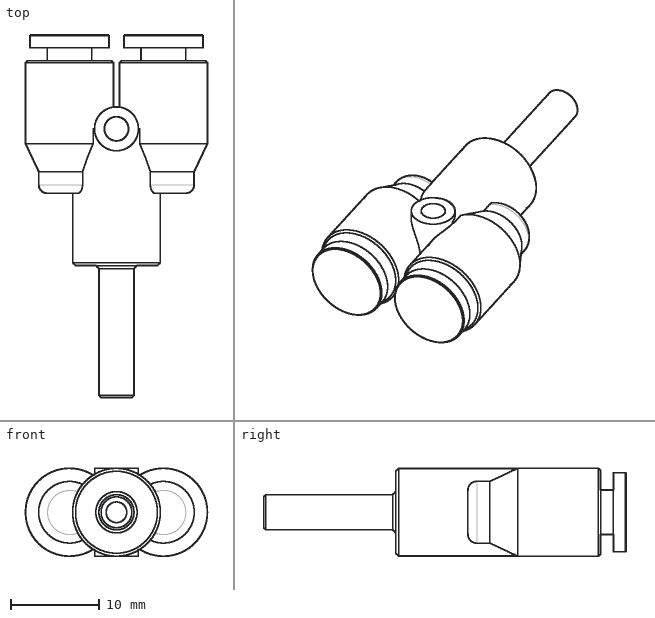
import cadquery as cq

total_length = 41.2
cap_back_y = 39.7
branch_top_y = 38.27
boss_y = 30.53
cone_start_y = 28.85
cone_end_y = 25.65
tail_end_y = 23.2
trunk_end_y = 15.0

body_diameter = 10.0
trunk_diameter = 9.95
cap_diameter = 9.02
neck_diameter = 5.1
tail_diameter = 7.0
stem_diameter = 4.0
stem_root_diameter = 4.7
bore_diameter = 2.35
boss_diameter = 5.0
cross_hole_diameter = 2.7

cap_chamfer = 0.12
branch_chamfer = 0.25
trunk_chamfer = 0.35
stem_chamfer = 0.25
tail_fillet = 1.0

boss_height = body_diameter
overall_width = 20.7
branch_offset = (overall_width - body_diameter) / 2
stem_root_flare = (stem_root_diameter - stem_diameter) / 2


def cylinder_along_y(diameter, start_y, end_y):
    """Cylinder on the Y axis between two Y positions."""
    plane = cq.Workplane("XZ", origin=(0, start_y, 0))
    return plane.circle(diameter / 2).extrude(start_y - end_y)


def make_branch(x):
    """Tube socket: release cap, neck, body and a cone running down to a rounded tail."""
    body_radius = body_diameter / 2
    tail_radius = tail_diameter / 2
    cap = cylinder_along_y(cap_diameter, cap_back_y, total_length)
    cap = cap.faces(">Y").chamfer(cap_chamfer)
    neck = cylinder_along_y(neck_diameter, branch_top_y, cap_back_y)
    body = (
        cq.Workplane("XY")
        .moveTo(0, tail_end_y)
        .lineTo(tail_radius - tail_fillet, tail_end_y)
        .radiusArc((tail_radius, tail_end_y + tail_fillet), -tail_fillet)
        .lineTo(tail_radius, cone_end_y)
        .lineTo(body_radius, cone_start_y)
        .lineTo(body_radius, branch_top_y - branch_chamfer)
        .lineTo(body_radius - branch_chamfer, branch_top_y)
        .lineTo(0, branch_top_y)
        .close()
        .revolve(360, (0, 0, 0), (0, 1, 0))
    )
    return body.union(neck).union(cap).translate((x, 0, 0))


def make_trunk():
    """Central body between the branches, ending at the middle of the boss."""
    trunk = cylinder_along_y(trunk_diameter, trunk_end_y, boss_y)
    return trunk.faces("<Y").chamfer(trunk_chamfer)


def make_stem():
    """Plug-in stem with a chamfered tip and a flared root against the trunk."""
    stem_radius = stem_diameter / 2
    return (
        cq.Workplane("XY")
        .lineTo(stem_radius - stem_chamfer, 0)
        .lineTo(stem_radius, stem_chamfer)
        .lineTo(stem_radius, trunk_end_y - stem_root_flare)
        .lineTo(stem_root_diameter / 2, trunk_end_y)
        .lineTo(0, trunk_end_y)
        .close()
        .revolve(360, (0, 0, 0), (0, 1, 0))
    )


def cylinder_along_z(diameter):
    """Cylinder at the boss position, spanning the full height of the part."""
    plane = cq.Workplane("XY", origin=(0, boss_y, -boss_height / 2))
    return plane.circle(diameter / 2).extrude(boss_height)


result = make_trunk().union(make_stem())
for side in (-1, 1):
    result = result.union(make_branch(side * branch_offset))
result = result.union(cylinder_along_z(boss_diameter))
result = result.cut(cylinder_along_z(cross_hole_diameter))

result = result.cut(cylinder_along_y(bore_diameter, 0, trunk_end_y))